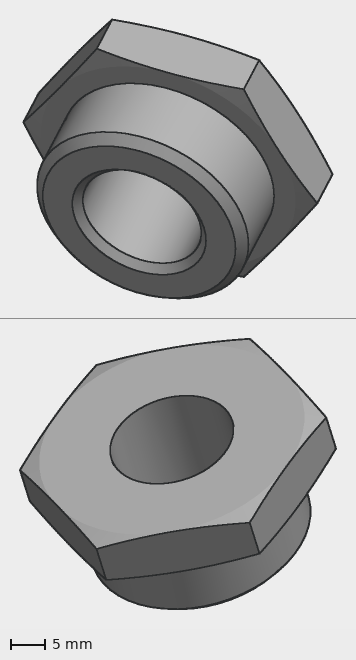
import cadquery as cq
import math

corner_diameter = 46.2
across_flats = corner_diameter * math.cos(math.radians(30))
head_thickness = 8.0
corner_chamfer_angle = 15.0

total_length = 20.0
spigot_diameter = 33.25
spigot_chamfer = 1.5

bore_diameter = 18.6
bore_chamfer = 1.2


def revolve_about_y(profile):
    """Revolve a closed (radius, y) outline around the Y axis."""
    return cq.Workplane("XY").polyline(profile).close().revolve(360, (0, 0, 0), (0, 1, 0))


def make_head():
    """Hexagonal prism from y = 0 to the back face, corners bevelled at both ends."""
    prism = (
        cq.Workplane("XZ")
        .polygon(6, corner_diameter)
        .extrude(-head_thickness)
    )
    face_radius = across_flats / 2
    corner_radius = corner_diameter / 2
    bevel_depth = (corner_radius - face_radius) * math.tan(math.radians(corner_chamfer_angle))
    bevel_envelope = revolve_about_y([
        (0, 0),
        (face_radius, 0),
        (corner_radius, bevel_depth),
        (corner_radius, head_thickness - bevel_depth),
        (face_radius, head_thickness),
        (0, head_thickness),
    ])
    return prism.intersect(bevel_envelope)


def make_spigot():
    """Cylinder in front of the head with a chamfered free end."""
    return (
        cq.Workplane("XZ")
        .circle(spigot_diameter / 2)
        .extrude(total_length - head_thickness)
        .faces("<Y")
        .chamfer(spigot_chamfer)
    )


def make_bore():
    """Cutting body for the through bore and its chamfered mouth."""
    front = head_thickness - total_length
    bore_radius = bore_diameter / 2
    return revolve_about_y([
        (0, front),
        (bore_radius + bore_chamfer, front),
        (bore_radius, front + bore_chamfer),
        (bore_radius, head_thickness),
        (0, head_thickness),
    ])


result = make_head().union(make_spigot()).cut(make_bore())